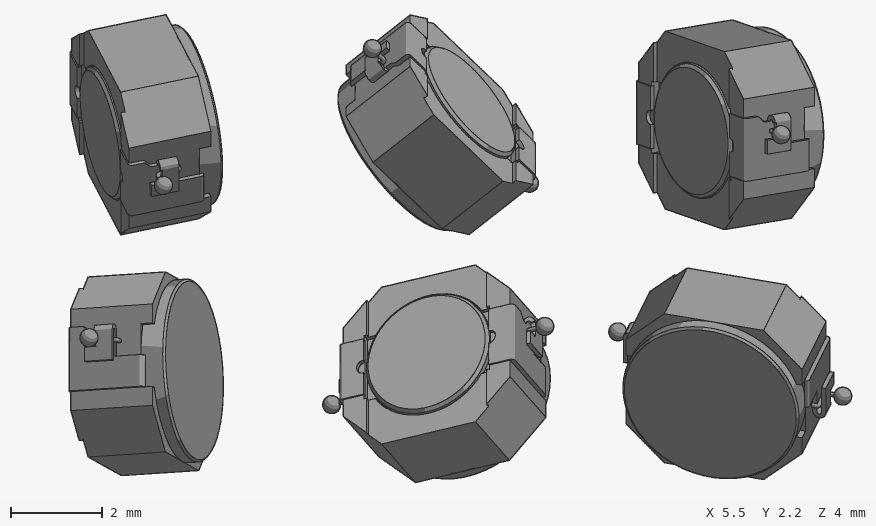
import cadquery as cq
import math


cos45 = math.sqrt(0.5)

total_depth = 2.2
width = 4.0
half_width = width / 2
corner_cut = 0.875
disc_depth = 0.285
disc_chamfer = 0.05
terminal_proud = 0.035
housing_front = -(total_depth - terminal_proud)
side_land_inner = 1.435
face_step_depth = 0.1

bore_radius = 1.5
core_clearance = 0.03
core_radius = bore_radius - core_clearance
core_chamfer = 0.07
bore_depth = 0.2
bore_bottom = housing_front + bore_depth

pocket_half_height = 0.805

sheet = 0.1
terminal_half_height = 0.705
notch_floor = -0.55
plate_outer = half_width + sheet
seat_floor = -(total_depth - sheet)
terminal_inner = bore_radius
hole_radius = 0.16

tab_gap = 0.1
fold_inner_radius = tab_gap / 2
fold_outer_radius = fold_inner_radius + sheet
fold_x = -(plate_outer + fold_inner_radius)
fold_z = fold_outer_radius - terminal_half_height
tab_rear = -1.11
fold_front = -1.535
tab_neck_front = -1.495
tab_head_front = -1.745
tab_head_bottom = -0.205
tab_top = 0.11
tab_inner_x = -(plate_outer + tab_gap)

ramp_upper_radius = 0.11
ramp_lower_radius = 0.05
ramp_end = -1.855

wire_radius = tab_gap / 2
wire_bend = 0.055
wire_z = -0.35
wire_rear = -1.05
wire_front = -1.555
ball_radius = 0.2
ball_x = -2.55


def box(x_range, y_range, z_range):
    """Axis-aligned box between the given limits."""
    sizes = [abs(b - a) for a, b in (x_range, y_range, z_range)]
    corner = (min(x_range), min(y_range), min(z_range))
    return cq.Workplane("XY").box(*sizes, centered=False).translate(corner)


def cylinder_y(radius, y_front, y_rear):
    """Cylinder about the Y axis between two depths."""
    return cq.Workplane("XZ", origin=(0, y_rear, 0)).circle(radius).extrude(y_rear - y_front)


def opposite(body):
    """Copy of a body on the other side of the part."""
    return body.rotate((0, 0, 0), (0, 1, 0), 180)


def make_housing():
    octagon = (
        cq.Workplane("XZ", origin=(0, -disc_depth, 0))
        .rect(width, width)
        .extrude(-disc_depth - housing_front)
        .edges("|Y")
        .chamfer(corner_cut)
    )
    terminal_height = (-terminal_half_height, terminal_half_height)
    notches = box((-half_width, half_width), (notch_floor, 0), terminal_height)
    octagon = octagon.cut(notches)
    disc = cylinder_y(half_width, notch_floor, 0).faces(">Y").chamfer(disc_chamfer)
    housing = octagon.union(disc)

    face_step = box(
        (-side_land_inner, side_land_inner),
        (housing_front, housing_front + face_step_depth),
        (-half_width, half_width),
    )
    pocket = box(
        (-terminal_inner, terminal_inner),
        (housing_front, bore_bottom),
        (-pocket_half_height, pocket_half_height),
    )
    bore = cylinder_y(bore_radius, housing_front, bore_bottom)
    terminal_seats = box((-half_width, half_width), (housing_front, seat_floor), terminal_height)
    return housing.cut(face_step).cut(pocket).cut(bore).cut(terminal_seats)


def make_core():
    return cylinder_y(core_radius, housing_front, bore_bottom).faces("<Y").chamfer(core_chamfer)


def strip_section():
    """Bent strip seen along Z: front leg, side plate and rounded ends, at full height."""
    diagonal = sheet * cos45
    return (
        cq.Workplane("XY", origin=(0, 0, -terminal_half_height))
        .moveTo(-terminal_inner, seat_floor)
        .lineTo(-terminal_inner, -total_depth)
        .lineTo(-half_width, -total_depth)
        .threePointArc((-half_width - diagonal, seat_floor - diagonal), (-plate_outer, seat_floor))
        .lineTo(-plate_outer, notch_floor)
        .threePointArc((-half_width - diagonal, notch_floor + diagonal), (-half_width, notch_floor + sheet))
        .lineTo(-half_width, seat_floor)
        .close()
        .extrude(2 * terminal_half_height)
    )


def plate_relief():
    """Area removed from the lower half of the side plate, leaving a stem for the fold."""
    rear_relief = box((-plate_outer, -half_width), (tab_rear, 0), (-terminal_half_height, 0))

    upper_drop = ramp_upper_radius * (1 - cos45)
    lower_rise = ramp_lower_radius * (1 - cos45)
    lower_start = ramp_end + ramp_lower_radius * cos45
    upper_end = lower_start + (fold_z + terminal_half_height) - upper_drop - lower_rise
    upper_start = upper_end + ramp_upper_radius * cos45
    sin_half = math.sin(math.pi / 8)
    cos_half = math.cos(math.pi / 8)
    upper_middle = (upper_start - ramp_upper_radius * sin_half, fold_z - ramp_upper_radius * (1 - cos_half))
    lower_middle = (
        ramp_end + ramp_lower_radius * sin_half,
        -terminal_half_height + ramp_lower_radius * (1 - cos_half),
    )
    ramp_relief = (
        cq.Workplane("YZ", origin=(-plate_outer, 0, 0))
        .moveTo(tab_rear, -terminal_half_height)
        .lineTo(tab_rear, fold_z)
        .lineTo(upper_start, fold_z)
        .threePointArc(upper_middle, (upper_end, fold_z - upper_drop))
        .lineTo(lower_start, -terminal_half_height + lower_rise)
        .threePointArc(lower_middle, (ramp_end, -terminal_half_height))
        .close()
        .extrude(sheet)
    )
    return rear_relief.union(ramp_relief)


def make_tab():
    """U-shaped fold under the stem and the L-shaped tab that rises from it."""
    fold = (
        cq.Workplane("XZ", origin=(fold_x, tab_rear, fold_z))
        .moveTo(-fold_outer_radius, 0)
        .threePointArc((0, -fold_outer_radius), (fold_outer_radius, 0))
        .lineTo(fold_inner_radius, 0)
        .threePointArc((0, -fold_inner_radius), (-fold_inner_radius, 0))
        .close()
        .extrude(tab_rear - fold_front)
    )
    tab_x = (tab_inner_x - sheet, tab_inner_x)
    neck = box(tab_x, (tab_neck_front, tab_rear), (fold_z, tab_head_bottom))
    head = box(tab_x, (tab_head_front, tab_rear), (tab_head_bottom, tab_top))
    return fold.union(neck).union(head)


def make_terminal():
    hole = (
        cq.Workplane("XZ", origin=(-terminal_inner, seat_floor, 0))
        .circle(hole_radius)
        .extrude(sheet)
    )
    return strip_section().cut(plate_relief()).union(make_tab()).cut(hole)


def make_ball():
    return cq.Workplane("XZ").sphere(ball_radius).translate((ball_x, wire_front, wire_z))


def make_wire(ball):
    """Round wire from the housing side, through the fold and out to the ball."""
    bend_offset = wire_bend * (1 - cos45)
    path = (
        cq.Workplane("XY", origin=(0, 0, wire_z))
        .moveTo(-half_width, wire_rear)
        .lineTo(fold_x + wire_bend, wire_rear)
        .threePointArc((fold_x + bend_offset, wire_rear - bend_offset), (fold_x, wire_rear - wire_bend))
        .lineTo(fold_x, wire_front + wire_bend)
        .threePointArc((fold_x - bend_offset, wire_front + bend_offset), (fold_x - wire_bend, wire_front))
        .lineTo(ball_x, wire_front)
    )
    wire = (
        cq.Workplane("YZ", origin=(-half_width, wire_rear, wire_z))
        .circle(wire_radius)
        .sweep(path)
    )
    return wire.cut(ball)


housing = make_housing()
core = make_core()
terminal = make_terminal()
ball = make_ball()
wire = make_wire(ball)

left_bodies = (terminal, wire, ball)
right_bodies = [opposite(body) for body in left_bodies]

result = cq.Compound.makeCompound(
    [solid for body in (housing, core, *left_bodies, *right_bodies) for solid in body.solids().vals()]
)